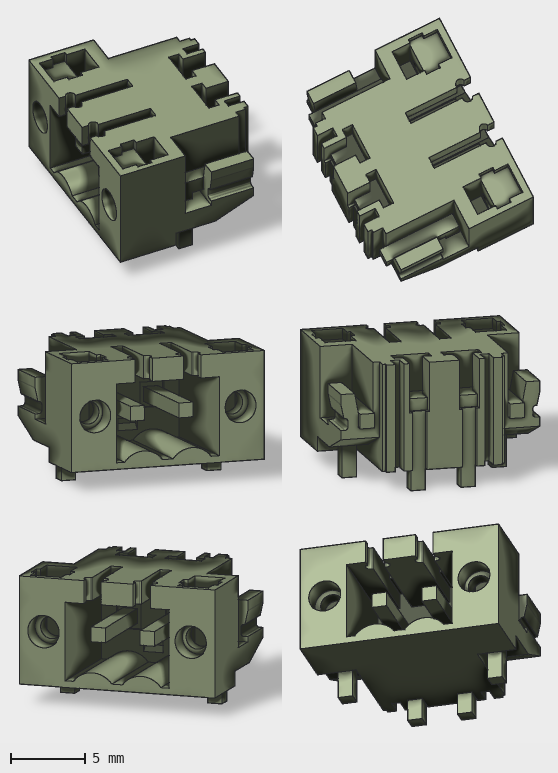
import cadquery as cq

WIDTH = 13.95
DEPTH = 11.05
HEIGHT = 7.46
PITCH = 3.5
CONTACT_X = PITCH / 2
FLANGE_X = 3 * PITCH / 2

WIRE = 1.02
BAR_BOTTOM = 3.01
BAR_TOP = BAR_BOTTOM + WIRE
LEG_LENGTH = 1.49
CONTACT_TIP_Y = 1.19
CONTACT_BACK_Y = 10.7
ANCHOR_FRONT_Y = 5.0
ANCHOR_BACK_Y = 10.52

SIDE_WALL_HALF = FLANGE_X - WIRE / 2
SHOULDER_HALF = 4.27
SHOULDER_Y = 10.03
REAR_HALF = 4.06
REAR_STEP_Y = 10.75
GROOVE_INNER = 2.83
GROOVE_OUTER = 3.45
GROOVE_FRONT_Y = 9.88

FLANGE_BACK_Y = 4.88
FLANGE_FOOT_BACK_Y = 4.18
LEDGE_BOTTOM = 1.02
LEDGE_TOP = 2.5
LEDGE_TIP_BOTTOM = 2.22
LEDGE_SLOPE_Y = 7.14

CLIP_FRONT_Y = 6.84
CLIP_TOP = 5.37
CLIP_TOP_WIDTH = 0.96
CLIP_SLOPE_TOP = 4.65
CLIP_SLOPE_INSET = 0.21
CLIP_RECESS_TOP = 3.68
CLIP_RECESS_BOTTOM = 2.86
CLIP_RECESS_DEPTH = 0.49
CLIP_FILLET = 0.21

CAVITY_HALF = 3.71
CAVITY_BACK_Y = 7.53
CAVITY_FLOOR = 0.46
CAVITY_CEILING = 5.87
RIB_HALF = 1.38
RIB_HEIGHT = 0.68
PIN_RECESS_SIZE = 1.75
PIN_RECESS_DEPTH = 0.28
WINDOW_WIDTH = 1.4
WINDOW_BOTTOM = 1.17
WINDOW_TOP = 2.0
WINDOW_DEPTH = 0.42

SLOT_WIDTH = 0.82
SLOT_BACK_Y = 5.04
SLOT_COVER = 0.52
NECK_WIDTH = 1.24
BULB_HALF = 0.85
BULB_BACK_HALF = 0.53
BULB_FRONT_Y = 0.49
BULB_BACK_Y = 1.13

TEE_FLOOR = 4.88
TEE_WIDTH = 2.61
TEE_FRONT_Y = 8.6
TEE_BACK_Y = 9.36
STEM_WIDTH = 1.38
STEM_STEP_Y = 10.55

HOLE_Z = 3.74
HOLE_RADIUS = 1.12
THROAT_RADIUS = 0.78
THROAT_X = 5.19
NUT_FLOOR = 6.72
POCKET_OUTER = 6.35
POCKET_INNER = 4.16
WELL_INNER = 4.2
NUT_WIDTH = 2.7
POCKET_FRONT_Y = 0.49
NUT_FRONT_Y = 1.5
NUT_BACK_Y = 2.54
WELL_BACK_Y = 3.9
WELL_FLOOR = LEDGE_TOP

SIDES = (-1, 1)


def block(x_ends, y_ends, z_ends):
    """Box between two X, two Y and two Z positions."""
    x0, x1 = sorted(x_ends)
    return (
        cq.Workplane("XY")
        .box(x1 - x0, y_ends[1] - y_ends[0], z_ends[1] - z_ends[0], centered=False)
        .translate((x0, y_ends[0], z_ends[0]))
    )


def centred_block(x, width, y_ends, z_ends):
    """Box centred on an X position."""
    return block((x - width / 2, x + width / 2), y_ends, z_ends)


def cylinder_along_y(x, z, radius, y_start, y_end):
    return cq.Workplane("XZ", origin=(x, y_start, z)).circle(radius).extrude(y_start - y_end)


def bent_pin(x, bar_front_y, bar_back_y, leg_front_y):
    """Square wire with a bar along Y and a leg that goes down from one end of it."""
    bar = centred_block(x, WIRE, (bar_front_y, bar_back_y), (BAR_BOTTOM, BAR_TOP))
    leg = centred_block(x, WIRE, (leg_front_y, leg_front_y + WIRE), (-LEG_LENGTH, BAR_TOP))
    return bar.union(leg)


def contact_pin(x):
    return bent_pin(x, CONTACT_TIP_Y, CONTACT_BACK_Y, CONTACT_BACK_Y - WIRE)


def anchor_pin(x):
    return bent_pin(x, ANCHOR_FRONT_Y, ANCHOR_BACK_Y, ANCHOR_FRONT_Y)


def core():
    """Middle of the housing, with a step and a vertical groove near each rear corner."""
    right_half = [
        (SHOULDER_HALF, 0),
        (SHOULDER_HALF, REAR_STEP_Y),
        (REAR_HALF, REAR_STEP_Y),
        (REAR_HALF, DEPTH),
    ]
    left_half = [(-x, y) for x, y in reversed(right_half)]
    body = cq.Workplane("XY").polyline(right_half + left_half).close().extrude(HEIGHT)
    for side in SIDES:
        groove_x = (side * GROOVE_INNER, side * GROOVE_OUTER)
        body = body.cut(block(groove_x, (GROOVE_FRONT_Y, DEPTH), (0, HEIGHT)))
    return body


def flange(side):
    """Screw flange with the ledge behind it, and the side wall that rises from the ledge."""
    outline = [
        (0, 0),
        (FLANGE_FOOT_BACK_Y, 0),
        (FLANGE_FOOT_BACK_Y, LEDGE_BOTTOM),
        (LEDGE_SLOPE_Y, LEDGE_BOTTOM),
        (SHOULDER_Y, LEDGE_TIP_BOTTOM),
        (SHOULDER_Y, LEDGE_TOP),
        (FLANGE_BACK_Y, LEDGE_TOP),
        (FLANGE_BACK_Y, HEIGHT),
        (0, HEIGHT),
    ]
    plane = cq.Workplane("YZ", origin=(side * SHOULDER_HALF, 0, 0))
    body = plane.polyline(outline).close().extrude(side * (WIDTH / 2 - SHOULDER_HALF))
    wall_x = (side * SHOULDER_HALF, side * SIDE_WALL_HALF)
    return body.union(block(wall_x, (FLANGE_BACK_Y, SHOULDER_Y), (LEDGE_TOP, HEIGHT)))


def clip(side):
    """Upright clip with a rounded recess along its outer face."""

    def at(inset, z):
        return (side * (WIDTH / 2 - inset), z)

    recess_start = CLIP_RECESS_DEPTH - CLIP_FILLET
    pin_face = WIDTH / 2 - FLANGE_X - WIRE / 2
    side_wall_face = WIDTH / 2 - SIDE_WALL_HALF
    turn = side * CLIP_FILLET
    profile = (
        cq.Workplane("XZ", origin=(0, SHOULDER_Y, 0))
        .moveTo(*at(0, LEDGE_TOP))
        .lineTo(*at(0, CLIP_RECESS_BOTTOM))
        .lineTo(*at(recess_start, CLIP_RECESS_BOTTOM))
        .radiusArc(at(CLIP_RECESS_DEPTH, CLIP_RECESS_BOTTOM + CLIP_FILLET), turn)
        .lineTo(*at(CLIP_RECESS_DEPTH, CLIP_RECESS_TOP - CLIP_FILLET))
        .radiusArc(at(recess_start, CLIP_RECESS_TOP), turn)
        .lineTo(*at(CLIP_SLOPE_INSET, CLIP_RECESS_TOP))
        .lineTo(*at(0, CLIP_SLOPE_TOP))
        .lineTo(*at(0, CLIP_TOP))
        .lineTo(*at(CLIP_TOP_WIDTH, CLIP_TOP))
        .lineTo(*at(pin_face, BAR_TOP))
        .lineTo(*at(pin_face, BAR_BOTTOM))
        .lineTo(*at(side_wall_face, BAR_BOTTOM))
        .lineTo(*at(side_wall_face, LEDGE_TOP))
        .close()
    )
    return profile.extrude(SHOULDER_Y - CLIP_FRONT_Y)


def cavity():
    """Plug opening with a rounded rib on its floor below each contact."""
    opening = centred_block(0, 2 * CAVITY_HALF, (0, CAVITY_BACK_Y), (CAVITY_FLOOR, CAVITY_CEILING))
    for side in SIDES:
        x = side * CONTACT_X
        rib = (
            cq.Workplane("XZ")
            .moveTo(x - RIB_HALF, CAVITY_FLOOR)
            .threePointArc((x, CAVITY_FLOOR + RIB_HEIGHT), (x + RIB_HALF, CAVITY_FLOOR))
            .close()
            .extrude(-CAVITY_BACK_Y)
        )
        opening = opening.cut(rib)
    return opening


def window():
    """Shallow recess in the back wall of the cavity, with a floor that rises to mid-height."""
    outline = [
        (CAVITY_BACK_Y, WINDOW_BOTTOM),
        (CAVITY_BACK_Y + WINDOW_DEPTH, (WINDOW_BOTTOM + WINDOW_TOP) / 2),
        (CAVITY_BACK_Y + WINDOW_DEPTH, WINDOW_TOP),
        (CAVITY_BACK_Y, WINDOW_TOP),
    ]
    plane = cq.Workplane("YZ", origin=(-WINDOW_WIDTH / 2, 0, 0))
    return plane.polyline(outline).close().extrude(WINDOW_WIDTH)


def pin_recess(x):
    """Square recess around a contact in the back wall of the cavity."""
    middle_z = (BAR_BOTTOM + BAR_TOP) / 2
    z_ends = (middle_z - PIN_RECESS_SIZE / 2, middle_z + PIN_RECESS_SIZE / 2)
    return centred_block(x, PIN_RECESS_SIZE, (CAVITY_BACK_Y, CAVITY_BACK_Y + PIN_RECESS_DEPTH), z_ends)


def key_slot(x):
    """Roof slot with a wide neck and a round-ended bulb at the front, covered towards the back."""
    bulb_middle_y = (BULB_FRONT_Y + BULB_BACK_Y) / 2
    neck = centred_block(x, NECK_WIDTH, (0, bulb_middle_y), (CAVITY_CEILING, HEIGHT))
    open_slot = centred_block(x, SLOT_WIDTH, (0, SLOT_BACK_Y), (CAVITY_CEILING, HEIGHT))
    covered_slot = centred_block(x, SLOT_WIDTH, (0, CAVITY_BACK_Y), (CAVITY_CEILING, HEIGHT - SLOT_COVER))
    bulb = (
        cq.Workplane("XY", origin=(x, 0, CAVITY_CEILING))
        .moveTo(-BULB_BACK_HALF, BULB_BACK_Y)
        .threePointArc((-BULB_HALF, bulb_middle_y), (-NECK_WIDTH / 2, BULB_FRONT_Y))
        .lineTo(NECK_WIDTH / 2, BULB_FRONT_Y)
        .threePointArc((BULB_HALF, bulb_middle_y), (BULB_BACK_HALF, BULB_BACK_Y))
        .close()
        .extrude(HEIGHT - CAVITY_CEILING)
    )
    return neck.union(open_slot).union(covered_slot).union(bulb)


def tee_recess(x):
    """T-shaped recess in the top, open to the rear, with a groove below it for the contact leg."""
    bar = centred_block(x, TEE_WIDTH, (TEE_FRONT_Y, TEE_BACK_Y), (TEE_FLOOR, HEIGHT))
    stem = centred_block(x, STEM_WIDTH, (TEE_BACK_Y, STEM_STEP_Y), (TEE_FLOOR, HEIGHT))
    mouth = centred_block(x, STEM_WIDTH, (STEM_STEP_Y, DEPTH), (BAR_TOP, HEIGHT))
    leg_groove = centred_block(x, WIRE, (CONTACT_BACK_Y - WIRE, DEPTH), (0, BAR_TOP))
    return bar.union(stem).union(mouth).union(leg_groove)


def screw_hole(side):
    """Round hole from the front with a narrower throat that runs on into the nut pocket's well."""
    hole = cylinder_along_y(side * FLANGE_X, HOLE_Z, HOLE_RADIUS, 0, NUT_FRONT_Y)
    throat = cylinder_along_y(side * THROAT_X, HOLE_Z, THROAT_RADIUS, 0, NUT_BACK_Y)
    return hole.union(throat)


def nut_pocket(side):
    """Pocket in the flange top: shallow at the front, wider in the middle, with a deep well behind."""
    front = block(
        (side * POCKET_INNER, side * POCKET_OUTER), (POCKET_FRONT_Y, NUT_FRONT_Y), (NUT_FLOOR, HEIGHT)
    )
    nut_seat = centred_block(side * FLANGE_X, NUT_WIDTH, (NUT_FRONT_Y, NUT_BACK_Y), (NUT_FLOOR, HEIGHT))
    well = block(
        (side * WELL_INNER, side * POCKET_OUTER), (NUT_BACK_Y, WELL_BACK_Y), (WELL_FLOOR, HEIGHT)
    )
    return front.union(nut_seat).union(well)


contact_pins = [contact_pin(side * CONTACT_X) for side in SIDES]
anchor_pins = [anchor_pin(side * FLANGE_X) for side in SIDES]

housing = core()
for side in SIDES:
    housing = housing.union(flange(side)).union(clip(side))
housing = housing.cut(cavity()).cut(window())
for side in SIDES:
    contact_x = side * CONTACT_X
    housing = housing.cut(pin_recess(contact_x)).cut(key_slot(contact_x)).cut(tee_recess(contact_x))
    housing = housing.cut(screw_hole(side)).cut(nut_pocket(side))

for pin in contact_pins + anchor_pins:
    housing = housing.cut(pin)

result = cq.Compound.makeCompound(
    [housing.val(), *[pin.val() for pin in contact_pins], *[pin.val() for pin in anchor_pins]]
)